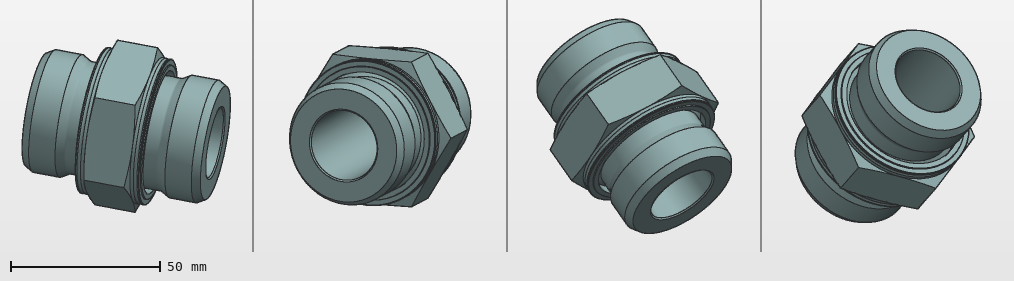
import cadquery as cq
import math

HALF_LENGTH = 31.0
BORE_DIAMETER = 24.0
BORE_CHAMFER = 0.5

THREAD_DIAMETER = 42.0
NECK_DIAMETER = 38.5
THREAD_END_DIAMETER = 38.8
TAPER_ANGLE = 30.0
THREAD_INNER_X = 19.1
NECK_FILLET = 1.25

HEX_ACROSS_FLATS = 50.0
HEX_HALF_WIDTH = 8.0
HEX_CHAMFER_ANGLE = 15.0

COLLAR_DIAMETER = 49.9
COLLAR_FACE_X = 11.1
COLLAR_CHAMFER = 0.25
COLLAR_GROOVE_OUTER_X = 10.4
COLLAR_GROOVE_INNER_X = 9.2
COLLAR_GROOVE_DEPTH = 0.25

SEAL_DIAMETER = 45.8
SEAL_BORE_DIAMETER = 42.15
SEAL_RECESS_DIAMETER = 46.05
SEAL_FACE_X = 11.55

ROOT_CONE_START_X = 10.05
ROOT_CONE_ANGLE = 45.0


def tangent(angle):
    return math.tan(math.radians(angle))


ROOT_CONE_HEIGHT = (SEAL_BORE_DIAMETER - NECK_DIAMETER) / 2
SEAL_SEAT_X = ROOT_CONE_START_X - ROOT_CONE_HEIGHT / tangent(ROOT_CONE_ANGLE)


def make_half_profile(side):
    """Turned outline of one half; side is +1 or -1 along X."""
    bore_r = BORE_DIAMETER / 2
    thread_r = THREAD_DIAMETER / 2
    neck_r = NECK_DIAMETER / 2
    end_r = THREAD_END_DIAMETER / 2
    collar_r = COLLAR_DIAMETER / 2
    recess_r = SEAL_RECESS_DIAMETER / 2

    end_taper_x = HALF_LENGTH - (thread_r - end_r) / tangent(TAPER_ANGLE)

    taper = math.radians(TAPER_ANGLE)
    fillet_top_r = neck_r + NECK_FILLET * (1 - math.cos(taper))
    fillet_top_x = THREAD_INNER_X - (thread_r - fillet_top_r) / math.tan(taper)
    fillet_end_x = fillet_top_x - NECK_FILLET * math.sin(taper)
    fillet_mid_x = fillet_end_x + NECK_FILLET * math.sin(taper / 2)
    fillet_mid_r = neck_r + NECK_FILLET * (1 - math.cos(taper / 2))

    groove_mid_x = (COLLAR_GROOVE_OUTER_X + COLLAR_GROOVE_INNER_X) / 2

    def at(x, r):
        return (side * x, r)

    return (
        cq.Workplane("XY")
        .moveTo(*at(0, bore_r))
        .lineTo(*at(HALF_LENGTH - BORE_CHAMFER, bore_r))
        .lineTo(*at(HALF_LENGTH, bore_r + BORE_CHAMFER))
        .lineTo(*at(HALF_LENGTH, end_r))
        .lineTo(*at(end_taper_x, thread_r))
        .lineTo(*at(THREAD_INNER_X, thread_r))
        .lineTo(*at(fillet_top_x, fillet_top_r))
        .threePointArc(at(fillet_mid_x, fillet_mid_r), at(fillet_end_x, neck_r))
        .lineTo(*at(ROOT_CONE_START_X, neck_r))
        .lineTo(*at(SEAL_SEAT_X, SEAL_BORE_DIAMETER / 2))
        .lineTo(*at(SEAL_SEAT_X, recess_r))
        .lineTo(*at(COLLAR_FACE_X, recess_r))
        .lineTo(*at(COLLAR_FACE_X, collar_r - COLLAR_CHAMFER))
        .lineTo(*at(COLLAR_FACE_X - COLLAR_CHAMFER, collar_r))
        .lineTo(*at(COLLAR_GROOVE_OUTER_X, collar_r))
        .threePointArc(
            at(groove_mid_x, collar_r - COLLAR_GROOVE_DEPTH),
            at(COLLAR_GROOVE_INNER_X, collar_r),
        )
        .lineTo(*at(0, collar_r))
        .close()
    )


def revolve_about_x(profile):
    return profile.revolve(360, (0, 0, 0), (1, 0, 0))


def make_hexagon():
    """Hexagonal prism, bored through, with conically chamfered corners."""
    corner_diameter = HEX_ACROSS_FLATS / math.cos(math.radians(30))
    corner_r = corner_diameter / 2
    collar_r = COLLAR_DIAMETER / 2
    corner_x = HEX_HALF_WIDTH - (corner_r - collar_r) * tangent(HEX_CHAMFER_ANGLE)

    prism = (
        cq.Workplane("YZ", origin=(-HEX_HALF_WIDTH, 0, 0))
        .polygon(6, corner_diameter)
        .extrude(2 * HEX_HALF_WIDTH)
    )
    envelope = revolve_about_x(
        cq.Workplane("XY").polyline([
            (-HEX_HALF_WIDTH, BORE_DIAMETER / 2),
            (HEX_HALF_WIDTH, BORE_DIAMETER / 2),
            (HEX_HALF_WIDTH, collar_r),
            (corner_x, corner_r),
            (-corner_x, corner_r),
            (-HEX_HALF_WIDTH, collar_r),
        ]).close()
    )
    return prism.intersect(envelope)


def make_fitting():
    body = make_hexagon()
    for side in (-1, 1):
        body = body.union(revolve_about_x(make_half_profile(side)))
    return body


def make_seal_ring(side):
    """Flat ring seated in the collar recess and standing slightly proud of the collar face."""
    profile = cq.Workplane("XY").polyline([
        (side * SEAL_SEAT_X, SEAL_BORE_DIAMETER / 2),
        (side * SEAL_FACE_X, SEAL_BORE_DIAMETER / 2),
        (side * SEAL_FACE_X, SEAL_DIAMETER / 2),
        (side * SEAL_SEAT_X, SEAL_DIAMETER / 2),
    ]).close()
    return revolve_about_x(profile)


fitting = make_fitting()
seal_rings = [make_seal_ring(side) for side in (-1, 1)]

result = cq.Compound.makeCompound([fitting.val(), *[ring.val() for ring in seal_rings]])